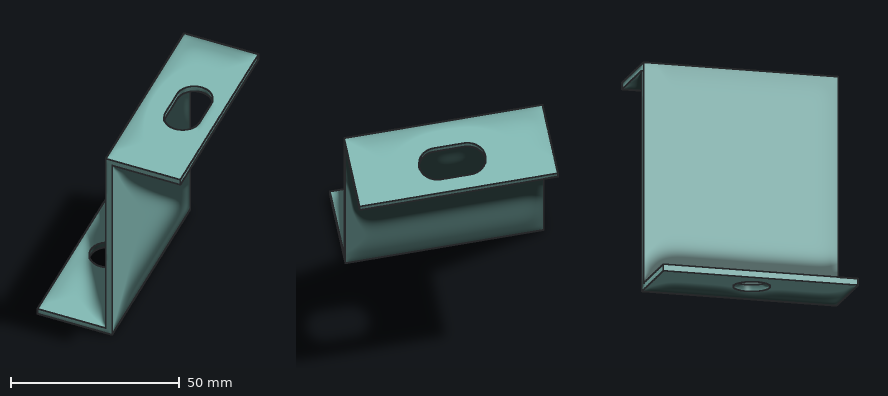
import cadquery as cq

height = 70.0
depth = 60.0
thickness = 2.0
flange_length = 24.0

hole_diameter = 11.0
slot_length = 20.0
hole_edge_distance = 10.0

web_face = thickness / 2
flange_tip = flange_length - web_face
hole_x = flange_tip - hole_edge_distance


def z_profile():
    """Web with an upper flange toward +X and a lower flange toward -X."""
    return [
        (-flange_tip, 0),
        (web_face, 0),
        (web_face, height - thickness),
        (flange_tip, height - thickness),
        (flange_tip, height),
        (-web_face, height),
        (-web_face, thickness),
        (-flange_tip, thickness),
    ]


bracket = cq.Workplane("XZ").polyline(z_profile()).close().extrude(depth / 2, both=True)

round_hole = cq.Workplane("XY").center(-hole_x, 0).circle(hole_diameter / 2).extrude(thickness)

slot = (
    cq.Workplane("XY", origin=(hole_x, 0, height - thickness))
    .slot2D(slot_length, hole_diameter, 90)
    .extrude(thickness)
)

result = bracket.cut(round_hole).cut(slot)